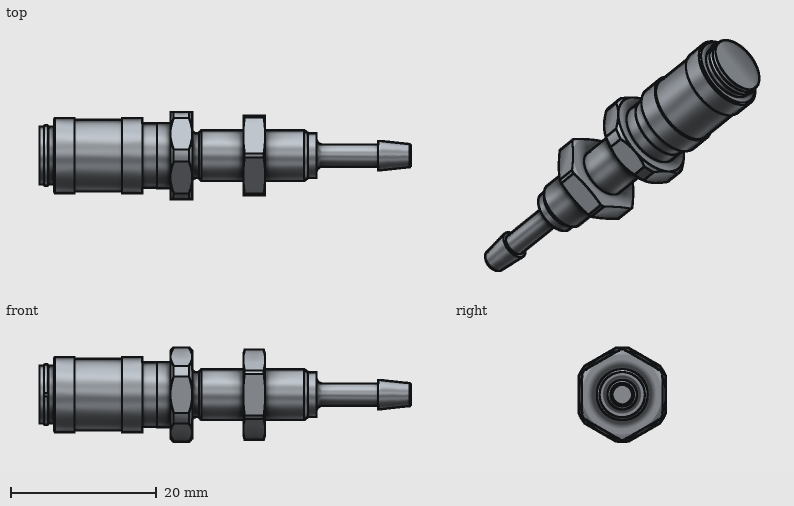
import cadquery as cq

total_length = 51.05

nose_diameter = 8.0
ring_groove_start = 0.63
ring_groove_end = 1.28
ring_groove_diameter = 7.46
ring_centre_x = 0.93
ring_wire_diameter = 0.62
ring_outer_diameter = 8.4
ring_gap = 0.5

sleeve_start = 2.0
sleeve_end = 14.15
sleeve_diameter = 10.35
sleeve_chamfer_length = 0.17
sleeve_chamfer_depth = 0.28
waist_start = 4.85
waist_end = 11.33
waist_diameter = 9.9

neck_diameter = 8.9
collar_start = 16.15
collar_diameter = 9.0

body_hex_start = 18.0
body_hex_length = 3.0
body_hex_flats = 12.0
body_hex_corner_diameter = 13.0
body_hex_face_diameter = 12.0
body_hex_chamfer_length = 0.45

undercut_diameter = 6.2
undercut_fillet = 0.45
undercut_floor_end = 21.9
shank_start = 22.25

shank_diameter = 7.0
shank_end = 36.35
spigot_start = 36.85
spigot_diameter = 6.2
spigot_end = 38.05

stem_diameter = 3.1
stem_fillet = 0.75
barb_start = 46.5
barb_rim_diameter = 4.05
barb_rim_end = 46.87
barb_tip_diameter = 3.2
barb_tip_chamfer_length = 0.25
barb_end_diameter = 2.7

nut_start = 28.0
nut_length = 3.0
nut_flats = 11.0
nut_corner_diameter = 12.4
nut_face_diameter = 11.0
nut_chamfer_length = 0.2


def revolve_profile(profile):
    """Turn a closed X-radius profile about the X axis."""
    return profile.close().revolve(360, (0, 0, 0), (1, 0, 0))


def make_hexagon(start, length, flats, corner_diameter, face_diameter, chamfer_length):
    """Hexagonal prism with flats at +-Y, its corners turned down and both ends chamfered."""
    end = start + length
    corner_radius = corner_diameter / 2
    face_radius = face_diameter / 2
    prism = (
        cq.Workplane("YZ", origin=(start, 0, 0))
        .polygon(6, flats, circumscribed=True)
        .extrude(length)
    )
    envelope = revolve_profile(
        cq.Workplane("XY")
        .moveTo(start, 0)
        .lineTo(start, face_radius)
        .lineTo(start + chamfer_length, corner_radius)
        .lineTo(end - chamfer_length, corner_radius)
        .lineTo(end, face_radius)
        .lineTo(end, 0)
    )
    return prism.intersect(envelope)


def make_snap_ring():
    """Round-wire ring, open at -Y, bedded in the groove of the nose."""
    centreline_radius = (ring_outer_diameter - ring_wire_diameter) / 2
    ring = (
        cq.Workplane("XY")
        .center(ring_centre_x, centreline_radius)
        .circle(ring_wire_diameter / 2)
        .revolve(360, (0, -centreline_radius, 0), (1, -centreline_radius, 0))
    )
    gap_cutter = (
        cq.Workplane("XY")
        .box(2 * ring_wire_diameter, ring_outer_diameter, ring_gap)
        .translate((ring_centre_x, -ring_outer_diameter / 2, 0))
    )
    return ring.cut(gap_cutter)


def make_body():
    """Turned body from the coupling face to the barb, with its hexagon and snap ring."""
    body_hex_end = body_hex_start + body_hex_length
    undercut_radius = undercut_diameter / 2
    stem_radius = stem_diameter / 2
    turned = revolve_profile(
        cq.Workplane("XY")
        .moveTo(0, 0)
        .lineTo(0, nose_diameter / 2)
        .lineTo(ring_groove_start, nose_diameter / 2)
        .lineTo(ring_groove_start, ring_groove_diameter / 2)
        .lineTo(ring_groove_end, ring_groove_diameter / 2)
        .lineTo(ring_groove_end, nose_diameter / 2)
        .lineTo(waist_start, nose_diameter / 2)
        .lineTo(waist_start, neck_diameter / 2)
        .lineTo(collar_start, neck_diameter / 2)
        .lineTo(collar_start, collar_diameter / 2)
        .lineTo(body_hex_start, collar_diameter / 2)
        .lineTo(body_hex_end, collar_diameter / 2)
        .lineTo(body_hex_end, undercut_radius + undercut_fillet)
        .radiusArc((body_hex_end + undercut_fillet, undercut_radius), -undercut_fillet)
        .lineTo(undercut_floor_end, undercut_radius)
        .lineTo(shank_start, shank_diameter / 2)
        .lineTo(shank_end, shank_diameter / 2)
        .lineTo(spigot_start, spigot_diameter / 2)
        .lineTo(spigot_end, spigot_diameter / 2)
        .lineTo(spigot_end, stem_radius + stem_fillet)
        .radiusArc((spigot_end + stem_fillet, stem_radius), -stem_fillet)
        .lineTo(barb_start, stem_radius)
        .lineTo(barb_start, barb_rim_diameter / 2)
        .lineTo(barb_rim_end, barb_rim_diameter / 2)
        .lineTo(total_length - barb_tip_chamfer_length, barb_tip_diameter / 2)
        .lineTo(total_length, barb_end_diameter / 2)
        .lineTo(total_length, 0)
    )
    hexagon = make_hexagon(
        body_hex_start,
        body_hex_length,
        body_hex_flats,
        body_hex_corner_diameter,
        body_hex_face_diameter,
        body_hex_chamfer_length,
    )
    return turned.union(hexagon).union(make_snap_ring())


def make_sleeve():
    """Sleeve with a shallow waist; a lip at its front closes down from the neck to the nose."""
    sleeve_radius = sleeve_diameter / 2
    return revolve_profile(
        cq.Workplane("XY")
        .moveTo(sleeve_start, nose_diameter / 2)
        .lineTo(sleeve_start, sleeve_radius - sleeve_chamfer_depth)
        .lineTo(sleeve_start + sleeve_chamfer_length, sleeve_radius)
        .lineTo(waist_start, sleeve_radius)
        .lineTo(waist_start, waist_diameter / 2)
        .lineTo(waist_end, waist_diameter / 2)
        .lineTo(waist_end, sleeve_radius)
        .lineTo(sleeve_end, sleeve_radius)
        .lineTo(sleeve_end, neck_diameter / 2)
        .lineTo(waist_start, neck_diameter / 2)
        .lineTo(waist_start, nose_diameter / 2)
    )


def make_nut():
    """Panel nut on the threaded shank."""
    blank = make_hexagon(
        nut_start, nut_length, nut_flats, nut_corner_diameter, nut_face_diameter, nut_chamfer_length
    )
    bore = (
        cq.Workplane("YZ", origin=(nut_start, 0, 0))
        .circle(shank_diameter / 2)
        .extrude(nut_length)
    )
    return blank.cut(bore)


body = make_body()
sleeve = make_sleeve()
nut = make_nut()

result = cq.Compound.makeCompound(
    [body.solids().val(), sleeve.solids().val(), nut.solids().val()]
)